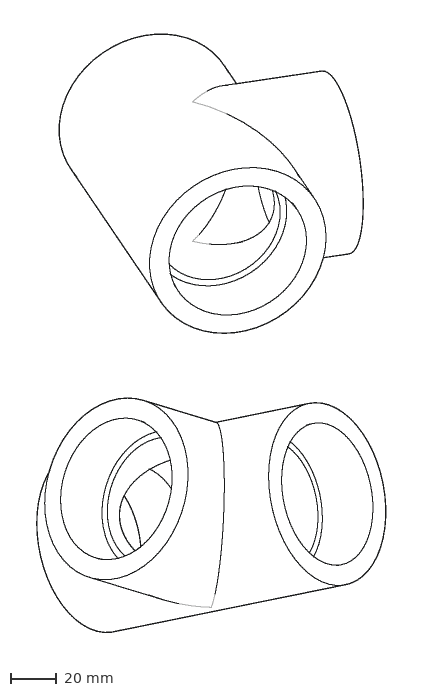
import cadquery as cq

run_length = 131.0
outer_diameter = 81.0
socket_diameter = 63.0
bore_diameter = 57.0
socket_depth = 28.5

half_run = run_length / 2
branch_reach = half_run


def tee(diameter):
    """Run and branch cylinders joined at the origin."""
    radius = diameter / 2
    run = cq.Workplane("YZ").circle(radius).extrude(half_run, both=True)
    branch = cq.Workplane("XZ").circle(radius).extrude(-branch_reach)
    return run.union(branch)


def socket(direction):
    """Pipe socket opening at the mouth that faces the given direction."""
    outward = cq.Vector(*direction)
    mouth_centre = outward * half_run
    return cq.Solid.makeCylinder(socket_diameter / 2, socket_depth, mouth_centre, -outward)


result = tee(outer_diameter).cut(tee(bore_diameter))
for mouth_direction in [(-1, 0, 0), (1, 0, 0), (0, 1, 0)]:
    result = result.cut(cq.Workplane(obj=socket(mouth_direction)))